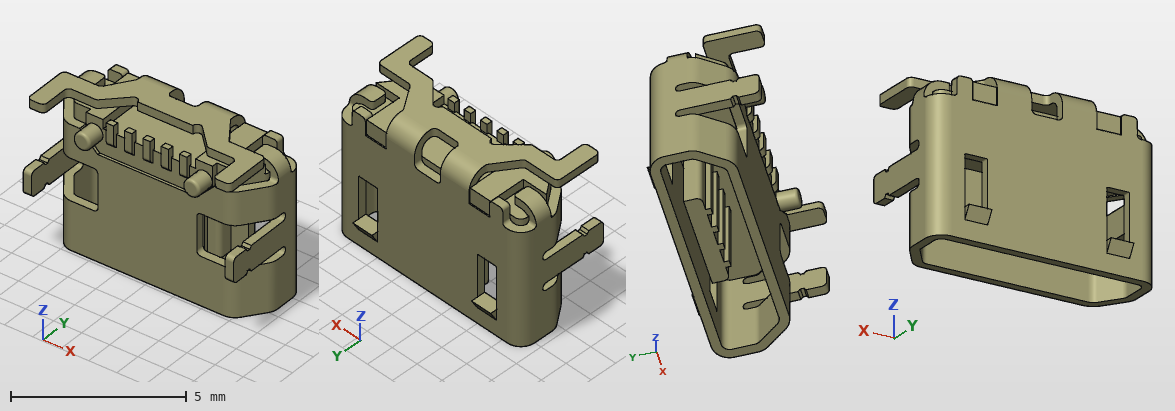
import cadquery as cq
import math


half_width = 3.75
depth = 2.445
wall = 0.3
rim_z = 4.36
back_radius = 0.55
side_corner_y = -1.42
front_corner_x = 2.99
slant_radius = 0.56
inner_front_y = wall - depth

window_x = 1.76
window_bottom = 1.72
window_top = 3.19
window_radius = 0.15
slot_centre_y = -1.03
tab_slot = 0.29
tab_bottom = window_bottom + tab_slot
tab_top = window_top - tab_slot
foot_y = -3.345
tab_tip_radius = 0.15
tab_notch_y = -2.625
tab_notch_depth = 0.1
tab_notch_half_base = 0.05
tab_notch_half_mouth = 0.12

notch_z = 3.72
notch_half_width = 1.77
notch_slope_run = rim_z - notch_z

latch_x = 2.38
latch_width = 0.765
latch_hole_top = 2.64
latch_hole_radius = 0.045
barb_z = 1.0
barb_height = 0.4
barb_reach = 0.23

ear_top = 5.0
edge_radius = 0.12
post_inner_x = 2.49
post_outer_x = 3.015
ear_back_y = -0.62
ear_front_y = -1.215
ear_tip_x = 2.82
bend_radius = 0.6

bracket_top = 5.4
bracket_bottom = bracket_top - wall
bend_inner_x = 0.52
bend_outer_x = 1.665
bracket_notch_y = -0.81
slope_y = -0.71
elbow_x = 2.29
diagonal_x = 1.97
arm_back_y = -1.62
arm_front_y = -2.22
leg_outer_x = 3.61
leg_inner_x = 3.01
bracket_radius = 0.16
bridge_y = -1.6
relief_radius = 0.15

housing_bottom = 3.225
housing_step_z = 4.605
housing_top = 4.93
housing_front_y = -2.35
housing_front_x = 2.25
block_inner_x = 1.65
block_outer_x = 2.48
block_back_y = -0.045
shoulder_y = -1.37
tongue_half_width = 1.53
tongue_back_y = -0.5
tongue_front_y = -1.03
tongue_bottom = 0.69
tongue_radius = 0.17
rib_front_y = -1.185
rib_width = 0.21
peg_x = 1.95
peg_diameter = 0.59
peg_end_y = -2.98
peg_fillet = 0.09
contact_pitch = 0.65
contact_count = 5
contact_width = 0.26
contact_front_y = -2.48
contact_back_y = -2.28
contact_bottom = 4.155
contact_top = 4.97
contact_bend = 0.19


def block(x_range, y_range, z_range):
    """Box between two limits on each axis."""
    (x0, x1), (y0, y1), (z0, z1) = x_range, y_range, z_range
    return cq.Workplane("XY").box(x1 - x0, y1 - y0, z1 - z0, centered=False).translate((x0, y0, z0))


def centred_row(count):
    """X places spaced by the contact pitch and centred on X = 0."""
    return [(index - (count - 1) / 2) * contact_pitch for index in range(count)]


def both_sides(body):
    """The body together with its mirror image across the YZ plane."""
    return body.union(body.mirror("YZ"))


def round_edges(body, points, radius):
    """Round the edges whose middles lie at the given points."""
    for point in points:
        body = body.edges(cq.NearestToPointSelector(point)).fillet(radius)
    return body


def shell_solid(height):
    """Solid with the outer outline of the shell, standing on Z = 0."""
    outline = [
        (-half_width, 0),
        (-half_width, side_corner_y),
        (-front_corner_x, -depth),
        (front_corner_x, -depth),
        (half_width, side_corner_y),
        (half_width, 0),
    ]
    body = cq.Workplane("XY").polyline(outline).close().extrude(height)
    body = body.edges("|Z").edges(">Y").fillet(back_radius)
    middle = height / 2
    corners = [(s * front_corner_x, -depth, middle) for s in (-1, 1)]
    corners += [(s * half_width, side_corner_y, middle) for s in (-1, 1)]
    return round_edges(body, corners, slant_radius)


def cavity_solid(bottom, top):
    """Inside of the shell between two heights: its outline pulled in by the wall."""
    full = shell_solid(top - bottom)
    ring = full.faces("<Z or >Z").shell(-wall)
    return full.cut(ring).translate((0, 0, bottom))


def solder_tab():
    """Right-hand solder tab, with rounded tip and a small notch in each long edge."""
    tab = block((half_width - wall, half_width), (foot_y, slot_centre_y), (tab_bottom, tab_top))
    tab = tab.edges("|X").edges("<Y").fillet(tab_tip_radius)
    for edge_z, inward in ((tab_bottom, 1), (tab_top, -1)):
        floor_z = edge_z + inward * tab_notch_depth
        notch = cq.Workplane("YZ").polyline([
            (tab_notch_y - tab_notch_half_mouth, edge_z),
            (tab_notch_y - tab_notch_half_base, floor_z),
            (tab_notch_y + tab_notch_half_base, floor_z),
            (tab_notch_y + tab_notch_half_mouth, edge_z),
        ]).close().extrude(half_width)
        tab = tab.cut(notch)
    return tab


def side_window():
    """Right-hand window around the solder tab, ending in two round-ended slots."""
    opening = block((window_x, half_width), (-depth, slot_centre_y), (window_bottom, window_top))
    opening = opening.edges("|Y").edges("<X").fillet(window_radius)
    slot_ends = cq.Workplane("YZ").pushPoints([
        (slot_centre_y, window_bottom + tab_slot / 2),
        (slot_centre_y, window_top - tab_slot / 2),
    ]).circle(tab_slot / 2).extrude(half_width)
    return opening.union(slot_ends)


def front_notch():
    """Sloped notch in the front rim; the housing front fills part of it."""
    half_top = notch_half_width + notch_slope_run
    return cq.Workplane("XZ", origin=(0, inner_front_y, 0)).polyline([
        (-half_top, rim_z),
        (-notch_half_width, notch_z),
        (notch_half_width, notch_z),
        (half_top, rim_z),
    ]).close().extrude(depth)


def latch_hole():
    """Right-hand hole in the back wall, above the barb."""
    hole = block(
        (latch_x - latch_width / 2, latch_x + latch_width / 2), (-wall, 0), (barb_z, latch_hole_top)
    )
    return hole.edges("|Y").edges(">Z").fillet(latch_hole_radius)


def latch_barb():
    """Right-hand wedge standing out from the back wall."""
    profile = [(0, barb_z), (barb_reach, barb_z), (0, barb_z - barb_height)]
    barb = cq.Workplane("YZ").polyline(profile).close().extrude(latch_width)
    return barb.translate((latch_x - latch_width / 2, 0, 0))


def root_fillet(radius):
    """Concave filler, one wall thick along -Y, for a corner between +X and +Z at the origin."""
    return (
        cq.Workplane("XZ")
        .lineTo(radius, 0)
        .radiusArc((0, radius), radius)
        .close()
        .extrude(wall)
    )


def post():
    """Upright post on the right half of the back wall."""
    body = block((post_inner_x, post_outer_x), (-wall, 0), (rim_z, ear_top))
    body = body.edges("|Y").edges(">Z").fillet(edge_radius)
    return body.union(root_fillet(edge_radius).translate((post_outer_x, 0, rim_z)))


def bent_strip(width, height):
    """Strip rising along Z with its outer face at Y = 0, then bent a quarter turn toward -Y."""
    return (
        cq.Workplane("YZ")
        .lineTo(0, height - bend_radius)
        .radiusArc((-bend_radius, height), -bend_radius)
        .lineTo(-bend_radius, height - wall)
        .radiusArc((-wall, height - bend_radius), bend_radius - wall)
        .lineTo(-wall, 0)
        .close()
        .extrude(width)
    )


def side_ear():
    """Ear rising from the right side wall and bent inward over the housing."""
    width = ear_back_y - ear_front_y
    height = ear_top - rim_z
    flap = block((0, width), (ear_tip_x - half_width, -bend_radius), (height - wall, height))
    flap = flap.edges("|Z").edges("<Y").fillet(edge_radius)
    ear = bent_strip(width, height).union(flap)
    ear = ear.rotate((0, 0, 0), (0, 0, 1), -90)
    ear = ear.translate((half_width, ear_back_y, rim_z))
    for y, turn in ((ear_back_y, 90), (ear_front_y, -90)):
        root = root_fillet(edge_radius).translate((0, wall / 2, 0))
        root = root.rotate((0, 0, 0), (0, 0, 1), turn)
        ear = ear.union(root.translate((half_width - wall / 2, y, rim_z)))
    return ear


def shell():
    """Bent metal shell with its windows, notch, latches, tabs, posts and ears."""
    body = shell_solid(rim_z).cut(cavity_solid(0, rim_z))
    body = body.cut(front_notch())
    body = body.cut(both_sides(side_window()))
    body = body.cut(both_sides(latch_hole()))
    for feature in (solder_tab(), latch_barb(), post(), side_ear()):
        body = body.union(both_sides(feature))
    return body


def bracket():
    """Flat top bracket with two legs, joined to the back wall by two bent strips."""
    tangent_offset = relief_radius / math.sqrt(2)
    relief_x = diagonal_x - (bridge_y - arm_front_y) - 2 * tangent_offset
    plate = (
        cq.Workplane("XY")
        .polyline([
            (0, bridge_y),
            (0, bracket_notch_y),
            (bend_inner_x, bracket_notch_y),
            (bend_inner_x, -bend_radius),
            (bend_outer_x, -bend_radius),
            (bend_outer_x, slope_y),
            (elbow_x, arm_back_y),
            (leg_outer_x, arm_back_y),
            (leg_outer_x, foot_y),
            (leg_inner_x, foot_y),
            (leg_inner_x, arm_front_y),
            (diagonal_x, arm_front_y),
            (relief_x + tangent_offset, bridge_y + tangent_offset),
        ])
        .threePointArc((relief_x, bridge_y + relief_radius), (relief_x - relief_radius, bridge_y))
        .close()
        .extrude(wall)
    )
    rounded = [
        (bend_outer_x, slope_y),
        (bend_inner_x, bracket_notch_y),
        (elbow_x, arm_back_y),
        (leg_outer_x, arm_back_y),
        (leg_outer_x, foot_y),
        (leg_inner_x, foot_y),
        (leg_inner_x, arm_front_y),
        (diagonal_x, arm_front_y),
    ]
    plate = round_edges(plate, [(x, y, wall / 2) for x, y in rounded], bracket_radius)
    plate = plate.translate((0, 0, bracket_bottom))
    strip = bent_strip(bend_outer_x - bend_inner_x, bracket_top - rim_z)
    strip = strip.translate((bend_inner_x, 0, rim_z))
    root = root_fillet(bracket_radius).mirror("YZ").translate((bend_inner_x, 0, rim_z))
    return both_sides(plate.union(strip).union(root))


def tongue():
    """Tongue reaching down into the mouth, with a rib between each two neighbouring contacts."""
    heights = (tongue_bottom, housing_bottom)
    body = block((-tongue_half_width, tongue_half_width), (tongue_front_y, tongue_back_y), heights)
    body = body.edges("|Z").edges("<Y").fillet(tongue_radius)
    for x in centred_row(contact_count - 1):
        rib = block((x - rib_width / 2, x + rib_width / 2), (rib_front_y, tongue_front_y), heights)
        body = body.union(rib)
    return body


def housing():
    """Plastic body filling the top of the shell, with raised blocks at both sides of the contacts."""
    body = cavity_solid(housing_bottom, housing_step_z)
    body = body.union(block(
        (-housing_front_x, housing_front_x), (housing_front_y, inner_front_y), (rim_z, housing_step_z)
    ))
    body = body.union(front_notch().intersect(block(
        (-housing_front_x, housing_front_x), (housing_front_y, inner_front_y), (notch_z, rim_z)
    )))
    raised = (housing_step_z, housing_top)
    shoulder = cavity_solid(*raised).intersect(
        block((block_inner_x, half_width), (-depth, shoulder_y), raised)
    )
    side_block = block((block_inner_x, block_outer_x), (inner_front_y, -wall), raised)
    rest = block((block_inner_x, block_outer_x), (-wall, block_back_y), (rim_z, housing_top))
    cheek = block((block_inner_x, housing_front_x), (housing_front_y, inner_front_y), raised)
    for feature in (shoulder, side_block, rest, cheek):
        body = body.union(both_sides(feature))
    return body.union(tongue())


def peg():
    """Locating peg on the right half of the housing front."""
    body = cq.Workplane("XZ", origin=(peg_x, inner_front_y, rim_z))
    body = body.circle(peg_diameter / 2).extrude(inner_front_y - peg_end_y)
    return body.faces("<Y").edges().fillet(peg_fillet)


def contact(x):
    """Contact tail lying against the housing front, curving in at its lower end."""
    body = block(
        (x - contact_width / 2, x + contact_width / 2),
        (contact_front_y, contact_back_y),
        (contact_bottom, contact_top),
    )
    return body.edges("|X").edges("<Y and <Z").fillet(contact_bend)


result = shell().union(bracket()).union(housing()).union(both_sides(peg()))
for contact_x in centred_row(contact_count):
    result = result.union(contact(contact_x))